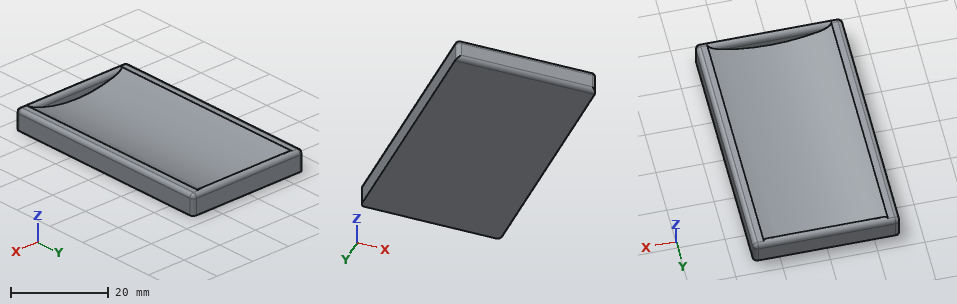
import cadquery as cq

width = 31.0
length = 54.0
height = 5.0
lip_width = 2.0
edge_radius = lip_width / 2
trough_half_width = 13.1
trough_depth = 2.55

crest_y = length / 2 - edge_radius
wall_y = length / 2 - lip_width
shoulder_z = height - edge_radius
trough_bottom_z = height - trough_depth


def make_body():
    """Plate with rounded upright corners and top rim, and a rounded front bottom edge."""
    plate = cq.Workplane("XY").box(width, length, height, centered=(True, True, False))
    plate = plate.edges("|Z").fillet(edge_radius)
    plate = plate.faces(">Z").edges().fillet(edge_radius)

    side_profile = (
        cq.Workplane("YZ")
        .rect(length, 2 * height)
        .extrude(width / 2, both=True)
        .translate((0, 0, height))
        .edges("<Y and <Z")
        .fillet(edge_radius)
    )
    return plate.intersect(side_profile)


def make_trough():
    """Cylindrical hollow along Y whose ends flare outward over the rounded lips."""
    arc_hollow = (
        cq.Workplane("XZ")
        .moveTo(-trough_half_width, height)
        .threePointArc((0, trough_bottom_z), (trough_half_width, height))
        .close()
        .extrude(crest_y, both=True)
    )
    flared_ends = (
        cq.Workplane("YZ")
        .moveTo(-wall_y, 0)
        .lineTo(-wall_y, shoulder_z)
        .radiusArc((-crest_y, height), -edge_radius)
        .lineTo(crest_y, height)
        .radiusArc((wall_y, shoulder_z), -edge_radius)
        .lineTo(wall_y, 0)
        .close()
        .extrude(trough_half_width, both=True)
    )
    return arc_hollow.intersect(flared_ends)


result = make_body().cut(make_trough())